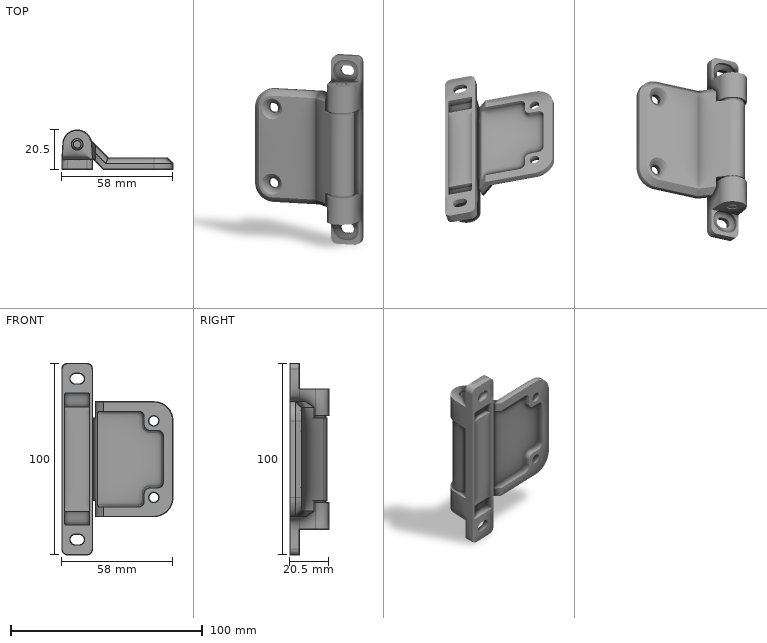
import cadquery as cq
import math


bar_length = 100.0
bar_width = 16.0
bar_thickness = 5.0
bar_corner_radius = 3.0

slot_width = 5.5
slot_length = 7.5
slot_z = 42.0
slot_land = 3.0
slot_head_width = 12.0

recess_width = 13.0
recess_half_length = 34.5
recess_corner_radius = 0.8
recess_depth = 1.5
end_pocket_depth = 4.0
end_pocket_length = 7.2

axis_y = 13.0
knuckle_radius = 7.5
knuckle_inner_z = 22.7
knuckle_length = 14.0
knuckle_outer_z = knuckle_inner_z + knuckle_length
pin_diameter = 6.0
pin_chamfer = 1.0

barrel_radius = 6.5
barrel_half_length = 21.5
washer_diameter = 12.0
washer_thickness = knuckle_inner_z - barrel_half_length
leaf_end_x = 50.0
leaf_half_height = 30.0
leaf_thickness = 6.0
leaf_start_x = 9.5
leaf_corner_radius = 10.0
leaf_chamfer = 3.0
leaf_hole_diameter = 5.2
leaf_hole_x = 40.0
leaf_hole_z = 20.0
leaf_head_diameter = 11.0

leaf_pocket_depth = 3.0
leaf_pocket_end_x = 45.0
leaf_pocket_step_x = 35.0
leaf_pocket_half_height = 25.0
leaf_pocket_step_z = 15.0
leaf_pocket_corner_radius = 3.0
leaf_pocket_floor_fillet = 1.0

bend_angle = math.radians(45)
tangent_x = barrel_radius * math.sin(bend_angle)
tangent_y = axis_y + barrel_radius * math.cos(bend_angle)
upper_bend_x = tangent_x + (tangent_y - leaf_thickness) / math.tan(bend_angle)
lower_bend_x = upper_bend_x - leaf_thickness * math.tan(bend_angle / 2)
lower_start_x = tangent_x - leaf_thickness * math.sin(bend_angle)
lower_start_y = tangent_y - leaf_thickness * math.cos(bend_angle)


def axis_cylinder(diameter, bottom_z, top_z):
    """Cylinder on the hinge axis between two heights."""
    return (
        cq.Workplane("XY", origin=(0, axis_y, bottom_z))
        .circle(diameter / 2)
        .extrude(top_z - bottom_z)
    )


def back_plane():
    """Workplane on the mounting face, drawn in (X, Z) and extruded toward +Y by negative lengths."""
    return cq.Workplane("XZ")


def make_knuckle(bottom_z):
    """Rounded lug whose sides run from the bar edges tangent to the top arc."""
    half_width = bar_width / 2
    rise = axis_y - bar_thickness
    foot_distance = math.hypot(half_width, rise)
    tangent_angle = math.acos(knuckle_radius / foot_distance) - math.atan2(rise, half_width)
    side_x = knuckle_radius * math.cos(tangent_angle)
    side_y = axis_y + knuckle_radius * math.sin(tangent_angle)
    return (
        cq.Workplane("XY", origin=(0, 0, bottom_z))
        .moveTo(-half_width, bar_thickness)
        .lineTo(half_width, bar_thickness)
        .lineTo(side_x, side_y)
        .threePointArc((0, axis_y + knuckle_radius), (-side_x, side_y))
        .close()
        .extrude(knuckle_length)
    )


def make_bar_recess():
    """Shallow recess along the bar plus the deeper pocket at each of its ends."""
    full_length = 2 * recess_half_length
    outline = (
        back_plane().rect(recess_width, full_length).extrude(-end_pocket_depth)
        .edges("|Y").fillet(recess_corner_radius)
    )
    raised_floor = (
        back_plane().workplane(offset=-recess_depth)
        .rect(recess_width, full_length - 2 * end_pocket_length)
        .extrude(recess_depth - end_pocket_depth)
    )
    return outline.cut(raised_floor)


def make_bracket():
    bracket = (
        back_plane().rect(bar_width, bar_length).extrude(-bar_thickness)
        .edges("|Y").fillet(bar_corner_radius)
    )
    slots = (
        back_plane().pushPoints([(0, -slot_z), (0, slot_z)])
        .slot2D(slot_length, slot_width).extrude(-bar_thickness)
    )
    head_recesses = (
        back_plane().workplane(offset=-slot_land).pushPoints([(0, -slot_z), (0, slot_z)])
        .slot2D(slot_head_width + slot_length - slot_width, slot_head_width)
        .extrude(slot_land - bar_thickness)
    )
    for bottom_z in (-knuckle_outer_z, knuckle_inner_z):
        bracket = bracket.union(make_knuckle(bottom_z))
    pin_hole = axis_cylinder(pin_diameter, -knuckle_outer_z, knuckle_outer_z)
    return bracket.cut(slots).cut(head_recesses).cut(make_bar_recess()).cut(pin_hole)


def make_plate():
    """Bent plate with its upper rim chamfered, notched at both ends to clear the knuckles."""
    plate = (
        cq.Workplane("XY", origin=(0, 0, -leaf_half_height))
        .polyline([
            (tangent_x, tangent_y),
            (upper_bend_x, leaf_thickness),
            (leaf_end_x, leaf_thickness),
            (leaf_end_x, 0),
            (lower_bend_x, 0),
            (lower_start_x, lower_start_y),
        ])
        .close()
        .extrude(2 * leaf_half_height)
    )
    plate = plate.edges("|Y and >X").fillet(leaf_corner_radius)
    flat_rim = plate.edges("|X").edges(">Y")
    sloped_rim = plate.edges("|(1, -1, 0)").edges(">Y")
    plate = flat_rim.add(sloped_rim).chamfer(leaf_chamfer)
    notch_height = leaf_half_height - barrel_half_length
    for bottom_z in (-leaf_half_height, barrel_half_length):
        notch = (
            cq.Workplane("XY", origin=(0, 0, bottom_z))
            .rect(2 * leaf_start_x, 2 * tangent_y)
            .extrude(notch_height)
        )
        plate = plate.cut(notch)
    return plate


def make_leaf_pocket():
    pocket = (
        back_plane()
        .polyline([
            (0, leaf_pocket_half_height),
            (leaf_pocket_step_x, leaf_pocket_half_height),
            (leaf_pocket_step_x, leaf_pocket_step_z),
            (leaf_pocket_end_x, leaf_pocket_step_z),
            (leaf_pocket_end_x, -leaf_pocket_step_z),
            (leaf_pocket_step_x, -leaf_pocket_step_z),
            (leaf_pocket_step_x, -leaf_pocket_half_height),
            (0, -leaf_pocket_half_height),
        ])
        .close()
        .extrude(-leaf_pocket_depth)
    )
    pocket = pocket.edges("|Y").edges(cq.selectors.BoxSelector(
        (leaf_start_x, -leaf_thickness, -leaf_half_height),
        (leaf_end_x, leaf_thickness, leaf_half_height),
    )).fillet(leaf_pocket_corner_radius)
    return pocket.faces(">Y").edges("not <X").fillet(leaf_pocket_floor_fillet)


def make_leaf_screw_hole(hole_z):
    """Screw hole countersunk from the upper face of the leaf."""
    hole_radius = leaf_hole_diameter / 2
    head_radius = leaf_head_diameter / 2
    countersink_start_y = leaf_thickness - (head_radius - hole_radius)
    return (
        cq.Workplane("XY", origin=(leaf_hole_x, 0, hole_z))
        .polyline([
            (0, 0),
            (hole_radius, 0),
            (hole_radius, countersink_start_y),
            (head_radius, leaf_thickness),
            (0, leaf_thickness),
        ])
        .close()
        .revolve(360, (0, 0), (0, 1))
    )


def make_leaf():
    barrel = axis_cylinder(2 * barrel_radius, -barrel_half_length, barrel_half_length)
    pin_hole = axis_cylinder(pin_diameter, -barrel_half_length, barrel_half_length)
    leaf = make_plate().union(barrel).cut(make_leaf_pocket())
    for hole_z in (-leaf_hole_z, leaf_hole_z):
        leaf = leaf.cut(make_leaf_screw_hole(hole_z))
    return leaf.cut(pin_hole)


def make_washer(bottom_z):
    """Thrust washer filling the gap between the barrel and a knuckle."""
    top_z = bottom_z + washer_thickness
    washer = axis_cylinder(washer_diameter, bottom_z, top_z)
    return washer.cut(axis_cylinder(pin_diameter, bottom_z, top_z))


def make_pin():
    """Pin flush with the outer knuckle faces, chamfered at both ends."""
    pin = axis_cylinder(pin_diameter, -knuckle_outer_z, knuckle_outer_z)
    return pin.faces("<Z or >Z").edges().chamfer(pin_chamfer)


bracket = make_bracket()
leaf = make_leaf()
pin = make_pin()
washers = [make_washer(bottom_z) for bottom_z in (-knuckle_inner_z, barrel_half_length)]

result = cq.Compound.makeCompound([
    bracket.val(),
    leaf.val(),
    pin.val(),
    *[washer.val() for washer in washers],
])